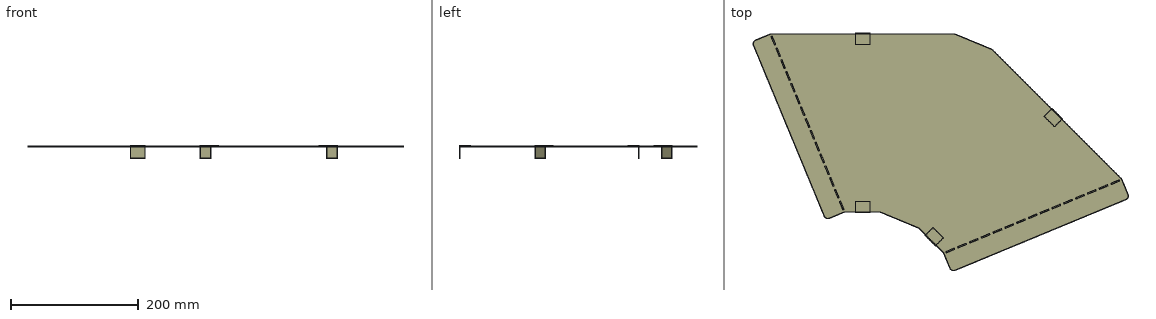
import cadquery as cq
import math

SHEET = 1.0
END_ANGLE = 22.5
BEND_ANGLE = 90.0
FOLD_ANGLE = BEND_ANGLE / 2
OUTER_EDGE = 388.0
OUTER_CORNER = 407.0
INNER_EDGE = 109.0
INNER_CORNER = 104.5

FLANGE_WIDTH = 32.5
FLANGE_RADIUS = 6.5

SLOT_COUNT = 15
SLOT_PITCH = 20.0
SLOT_LENGTH = 14.0
SLOT_WIDTH = 2.0
SLOT_SHIFT = 0.5
SLOT_DEPTH = SHEET / 2

CLIP_WIDTH = 23.0
CLIP_DEPTH = 16.5
CLIP_HEIGHT = 20.0
CLIP_OFFSET = 17.0

HALF_FOLD = math.radians(FOLD_ANGLE / 2)
SYMMETRY_ANGLE = END_ANGLE + BEND_ANGLE / 2
OUTER_END = OUTER_EDGE / math.cos(HALF_FOLD)
INNER_END = INNER_EDGE / math.cos(HALF_FOLD)
MID_LENGTH = (INNER_END + OUTER_END) / 2


def facet_half_length(edge, corner):
    """Half length of a corner facet lying between the two straight edges."""
    return (edge - corner * math.cos(HALF_FOLD)) / math.sin(HALF_FOLD)


OUTER_FACET = facet_half_length(OUTER_EDGE, OUTER_CORNER)
INNER_FACET = facet_half_length(INNER_EDGE, INNER_CORNER)


def make_panel():
    """Fan-shaped panel, with its symmetry axis along X and its bend centre at the origin."""
    half_bend = math.radians(BEND_ANGLE / 2)
    upper = [
        (INNER_CORNER, INNER_FACET),
        (INNER_END * math.cos(half_bend), INNER_END * math.sin(half_bend)),
        (OUTER_END * math.cos(half_bend), OUTER_END * math.sin(half_bend)),
        (OUTER_CORNER, OUTER_FACET),
    ]
    lower = [(x, -y) for x, y in reversed(upper)]
    return cq.Workplane("XY").polyline(upper + lower).close().extrude(SHEET)


def make_flange(side):
    """Strip outside the bend line on one side (+1 or -1) of the symmetry axis."""
    return (
        cq.Workplane("XY")
        .center(MID_LENGTH, side * FLANGE_WIDTH / 2)
        .rect(OUTER_END - INNER_END, FLANGE_WIDTH)
        .extrude(SHEET)
        .edges("|Z")
        .edges(">Y" if side > 0 else "<Y")
        .fillet(FLANGE_RADIUS)
        .rotate((0, 0, 0), (0, 0, 1), side * BEND_ANGLE / 2)
    )


def make_slots(side):
    """Row of shallow slots in the top face along one bend line."""
    return (
        cq.Workplane("XY", origin=(0, 0, SHEET))
        .center(MID_LENGTH, side * SLOT_SHIFT)
        .rarray(SLOT_PITCH, 6, SLOT_COUNT, 1)
        .rect(SLOT_LENGTH, SLOT_WIDTH)
        .extrude(-SLOT_DEPTH)
        .rotate((0, 0, 0), (0, 0, 1), side * BEND_ANGLE / 2)
    )


def make_cover():
    cover = make_panel()
    for side in (1, -1):
        cover = cover.union(make_flange(side))
    for side in (1, -1):
        cover = cover.cut(make_slots(side))
    return cover


def make_clip(edge, outward, side):
    """L-shaped clip: a tab on top of the cover and a leg down past the edge."""
    top = 2 * SHEET
    profile = [
        (edge - outward * CLIP_DEPTH, SHEET),
        (edge - outward * CLIP_DEPTH, top),
        (edge + outward * SHEET, top),
        (edge + outward * SHEET, top - CLIP_HEIGHT),
        (edge, top - CLIP_HEIGHT),
        (edge, SHEET),
    ]
    return (
        cq.Workplane("XZ", origin=(0, side * CLIP_OFFSET + CLIP_WIDTH / 2, 0))
        .polyline(profile)
        .close()
        .extrude(CLIP_WIDTH)
        .rotate((0, 0, 0), (0, 0, 1), side * FOLD_ANGLE / 2)
    )


def place(body):
    """Turn a body from the symmetric layout to its final direction."""
    return body.rotate((0, 0, 0), (0, 0, 1), SYMMETRY_ANGLE)


cover = place(make_cover())
clips = [
    place(make_clip(edge, outward, side))
    for edge, outward in ((OUTER_EDGE, 1), (INNER_EDGE, -1))
    for side in (1, -1)
]

result = cq.Compound.makeCompound([cover.val(), *[clip.val() for clip in clips]])